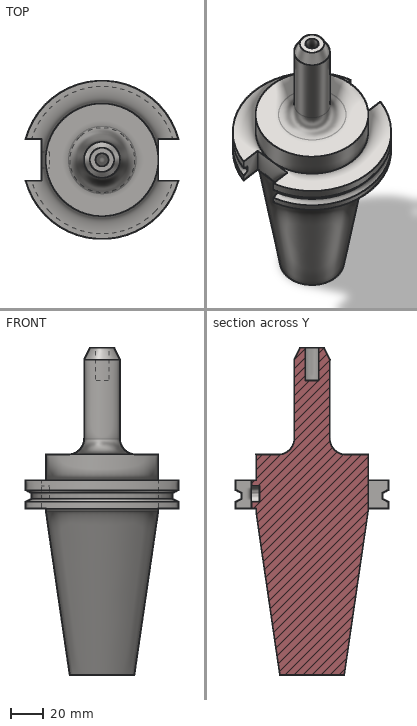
import cadquery as cq

total_height = 203.2

taper_length = 101.8
taper_slope = 7 / 48
body_radius = 35.0
taper_end_radius = body_radius - taper_length * taper_slope

flange_radius = 49.2
flange_bottom = 103.2
flange_top = 121.0
boss_top = 137.0

groove_radius = 45.7
groove_center = 111.2
groove_floor_width = 3.7
groove_mouth_width = 7.3

shank_radius = 11.2
shank_fillet = 9.8
tip_radius = 7.5
tip_length = 7.5

bore_diameter = 8.1
bore_depth = 20.3

slot_width = 25.8
left_slot_floor = 37.5
right_slot_floor = 35.0
side_hole_diameter = 9.8
side_hole_height = 112.5
side_hole_depth = 4.9


def turned_body():
    """Taper, grooved flange, boss and shank revolved about Z."""
    floor_half = groove_floor_width / 2
    mouth_half = groove_mouth_width / 2
    fillet_end = (shank_radius, boss_top + shank_fillet)
    profile = (
        cq.Workplane("XZ")
        .moveTo(0, 0)
        .lineTo(taper_end_radius, 0)
        .lineTo(body_radius, taper_length)
        .lineTo(body_radius, flange_bottom)
        .lineTo(flange_radius, flange_bottom)
        .lineTo(flange_radius, groove_center - mouth_half)
        .lineTo(groove_radius, groove_center - floor_half)
        .lineTo(groove_radius, groove_center + floor_half)
        .lineTo(flange_radius, groove_center + mouth_half)
        .lineTo(flange_radius, flange_top)
        .lineTo(body_radius, flange_top)
        .lineTo(body_radius, boss_top)
        .lineTo(shank_radius + shank_fillet, boss_top)
        .tangentArcPoint(fillet_end, relative=False)
        .lineTo(shank_radius, total_height - tip_length)
        .lineTo(tip_radius, total_height)
        .lineTo(0, total_height)
        .close()
    )
    return profile.revolve(360, (0, 0, 0), (0, 1, 0))


def drive_slot(side, floor_distance):
    """Block that cuts a drive slot through the flange; side is -1 or +1 along X."""
    length = flange_radius - floor_distance + 2
    center_x = side * (floor_distance + length / 2)
    return (
        cq.Workplane("XY", origin=(center_x, 0, flange_bottom))
        .rect(length, slot_width)
        .extrude(flange_top - flange_bottom)
    )


def side_hole():
    """Blind round hole in the floor of the left slot."""
    return (
        cq.Workplane("YZ", origin=(-left_slot_floor, 0, side_hole_height))
        .circle(side_hole_diameter / 2)
        .extrude(side_hole_depth)
    )


def tip_bore():
    """Blind round bore in the end of the shank."""
    return (
        cq.Workplane("XY", origin=(0, 0, total_height - bore_depth))
        .circle(bore_diameter / 2)
        .extrude(bore_depth)
    )


result = (
    turned_body()
    .cut(drive_slot(-1, left_slot_floor))
    .cut(drive_slot(1, right_slot_floor))
    .cut(side_hole())
    .cut(tip_bore())
)